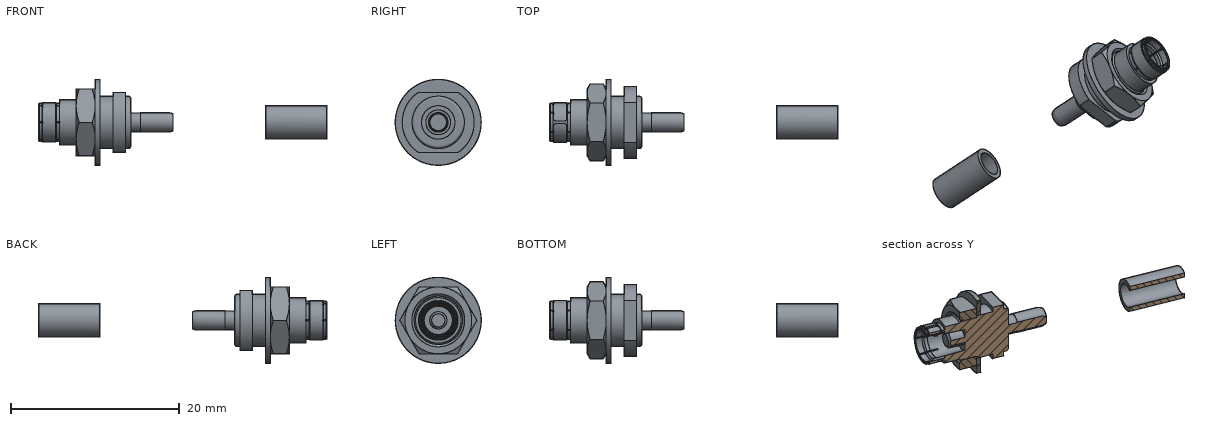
import cadquery as cq
import math


lip_end = 0.38
ring_start = 0.48
ring_end = 2.0
rear_lip_start = 2.1
collar_start = 2.5
nut_start = 4.45
nut_end = 6.7
washer_end = 7.25
flange_start = 8.8
flange_end = 10.3
body_end = 10.9
crimp_start = 12.07
crimp_taper_start = 15.3
stem_end = 15.93
ferrule_start = 26.88
ferrule_end = 34.1

lip_radius = 2.3
lip_chamfer = 0.1
ring_radius = 2.35
groove_radius = 2.1
collar_radius = 2.7
thread_radius = 3.1
flange_radius = 4.25
flange_across_flats = 7.1
body_fillet = 0.3
stem_radius = 1.13
crimp_radius = 1.15
crimp_tip_radius = 1.0

mouth_radius = 1.95
mouth_chamfer = 0.1
mouth_end = 0.9
throat_start = 1.1
throat_radius = 1.77
throat_end = 1.55
socket_radius = 1.8
socket_end = 5.1
socket_end_radius = 1.67
pin_radius = 1.02
pin_tip_start = 3.07
pin_chamfer = 0.25

slot_count = 6
slot_width = 0.15
ring_gap = 0.3
ring_gap_corner = 0.17

nut_across_flats = 7.9
nut_chamfer_angle = 30.0
nut_bore_radius = 2.85
nut_countersink_radius = 3.15
washer_radius = 5.1
ferrule_radius = 1.98
ferrule_bore_radius = 1.45


def cylinder(radius, start, end):
    """Cylinder on the X axis between two stations."""
    return cq.Workplane("YZ").workplane(offset=start).circle(radius).extrude(end - start)


def revolved(points):
    """Solid of revolution about X from (x, radius) points."""
    return cq.Workplane("XY").polyline(points).close().revolve(360, (0, 0, 0), (1, 0, 0))


def housing_outside():
    nut_seat_chamfer = nut_bore_radius - collar_radius
    crimp_drop = crimp_radius - crimp_tip_radius
    taper_length = stem_end - crimp_taper_start
    taper_arc_radius = (taper_length**2 + crimp_drop**2) / (2 * crimp_drop)
    taper_half_angle = math.asin(taper_length / taper_arc_radius) / 2
    taper_middle = (
        crimp_taper_start + taper_arc_radius * math.sin(taper_half_angle),
        crimp_radius - taper_arc_radius * (1 - math.cos(taper_half_angle)),
    )
    fillet_offset = body_fillet * math.sqrt(0.5)
    fillet_middle = (
        body_end - body_fillet + fillet_offset,
        thread_radius - body_fillet + fillet_offset,
    )
    return (
        cq.Workplane("XY")
        .moveTo(0, 0)
        .lineTo(0, lip_radius - lip_chamfer)
        .lineTo(lip_chamfer, lip_radius)
        .lineTo(lip_end, lip_radius)
        .lineTo(lip_end, groove_radius)
        .lineTo(rear_lip_start, groove_radius)
        .lineTo(rear_lip_start, lip_radius)
        .lineTo(collar_start, lip_radius)
        .lineTo(collar_start, collar_radius)
        .lineTo(nut_start, collar_radius)
        .lineTo(nut_start + nut_seat_chamfer, nut_bore_radius)
        .lineTo(nut_end, nut_bore_radius)
        .lineTo(nut_end, thread_radius)
        .lineTo(body_end - body_fillet, thread_radius)
        .threePointArc(fillet_middle, (body_end, thread_radius - body_fillet))
        .lineTo(body_end, stem_radius)
        .lineTo(crimp_start, stem_radius)
        .lineTo(crimp_start, crimp_radius)
        .lineTo(crimp_taper_start, crimp_radius)
        .threePointArc(taper_middle, (stem_end, crimp_tip_radius))
        .lineTo(stem_end, 0)
        .close()
        .revolve(360, (0, 0, 0), (1, 0, 0))
    )


def flange():
    """Round flange with a flat on the top and on the bottom."""
    length = flange_end - flange_start
    flats = cq.Workplane("XY").box(length, 2 * flange_radius, flange_across_flats)
    flats = flats.translate(((flange_start + flange_end) / 2, 0, 0))
    return cylinder(flange_radius, flange_start, flange_end).intersect(flats)


def split_ring():
    """Raised ring in the groove of the socket wall, open at the top."""
    length = ring_end - ring_start
    middle = (ring_start + ring_end) / 2
    ring = cylinder(ring_radius, ring_start, ring_end).cut(
        cylinder(groove_radius, ring_start, ring_end)
    )
    gap = cq.Workplane("XY").center(middle, 0).rect(length, ring_gap).extrude(ring_radius)
    for end, inward in ((ring_start, 1), (ring_end, -1)):
        for side in (1, -1):
            edge = side * ring_gap / 2
            corner = (
                cq.Workplane("XY")
                .moveTo(end, edge)
                .lineTo(end + inward * ring_gap_corner, edge)
                .lineTo(end, edge + side * ring_gap_corner)
                .close()
                .extrude(ring_radius)
            )
            gap = gap.union(corner)
    return ring.cut(gap)


def socket():
    """Stepped bore of the mating end."""
    return revolved(
        [
            (0, 0),
            (0, mouth_radius + mouth_chamfer),
            (mouth_chamfer, mouth_radius),
            (mouth_end, mouth_radius),
            (throat_start, throat_radius),
            (throat_end, throat_radius),
            (throat_end, socket_radius),
            (socket_end, socket_end_radius),
            (socket_end, 0),
        ]
    )


def spring_slots():
    """Slots along X that split the socket wall into fingers."""
    slots = cq.Workplane("XY")
    for i in range(slot_count):
        slot = cq.Workplane("XY").box(collar_start, lip_radius, slot_width, centered=(False, False, True))
        slots = slots.add(slot.rotate((0, 0, 0), (1, 0, 0), i * 360 / slot_count))
    return slots.combine()


def pin():
    tip = cylinder(pin_radius, pin_tip_start, socket_end)
    return tip.faces("<X").chamfer(pin_chamfer)


def make_housing():
    body = housing_outside().cut(socket()).cut(spring_slots())
    return body.union(flange()).union(split_ring()).union(pin())


def make_nut():
    length = nut_end - nut_start
    flat_radius = nut_across_flats / 2
    corner_radius = flat_radius / math.cos(math.pi / 6)
    chamfer_length = (corner_radius - flat_radius) * math.tan(math.radians(nut_chamfer_angle))
    hexagon = (
        cq.Workplane("YZ").workplane(offset=nut_start).polygon(6, 2 * corner_radius).extrude(length)
    )
    chamfers = revolved(
        [
            (nut_start, 0),
            (nut_start, flat_radius),
            (nut_start + chamfer_length, corner_radius),
            (nut_end - chamfer_length, corner_radius),
            (nut_end, flat_radius),
            (nut_end, 0),
        ]
    )
    countersink_depth = nut_countersink_radius - nut_bore_radius
    bore = revolved(
        [
            (nut_start, 0),
            (nut_start, nut_countersink_radius),
            (nut_start + countersink_depth, nut_bore_radius),
            (nut_end, nut_bore_radius),
            (nut_end, 0),
        ]
    )
    return hexagon.intersect(chamfers).cut(bore)


def make_washer():
    return cylinder(washer_radius, nut_end, washer_end).cut(
        cylinder(thread_radius, nut_end, washer_end)
    )


def make_ferrule():
    return cylinder(ferrule_radius, ferrule_start, ferrule_end).cut(
        cylinder(ferrule_bore_radius, ferrule_start, ferrule_end)
    )


housing = make_housing()
nut = make_nut()
washer = make_washer()
ferrule = make_ferrule()

result = cq.Compound.makeCompound([housing.val(), nut.val(), washer.val(), ferrule.val()])